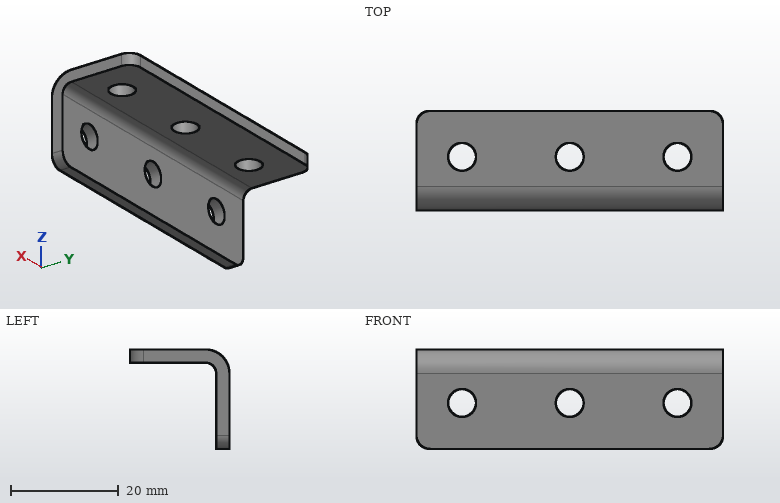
import cadquery as cq

length = 57.0
leg = 18.5
thickness = 2.5
inner_bend_radius = 2.0
outer_bend_radius = inner_bend_radius + thickness
corner_radius = 2.5
hole_diameter = 5.15
hole_pitch = 20.0
hole_count = 3
hole_from_bend_face = 10.0


def bent_sheet():
    """L-section with its outer bend edge along X at Y = 0, Z = 0."""
    vertical_leg = cq.Workplane("XY").box(length, thickness, leg, centered=(True, False, False))
    vertical_leg = vertical_leg.translate((0, 0, -leg))
    flat_leg = cq.Workplane("XY").box(length, leg, thickness, centered=(True, False, False))
    flat_leg = flat_leg.translate((0, 0, -thickness))
    sheet = vertical_leg.union(flat_leg)
    sheet = sheet.edges(cq.NearestToPointSelector((0, 0, 0))).fillet(outer_bend_radius)
    inner_edge = cq.NearestToPointSelector((0, thickness, -thickness))
    return sheet.edges(inner_edge).fillet(inner_bend_radius)


def round_free_corners(sheet):
    """Round the two outer corners of each leg."""
    sheet = sheet.faces(">Y").edges("|Z").fillet(corner_radius)
    return sheet.faces("<Z").edges("|Y").fillet(corner_radius)


def hole_row(plane, offset):
    """Row of cutters centred on X, reaching through one leg in both directions."""
    return (
        cq.Workplane(plane)
        .center(0, offset)
        .rarray(hole_pitch, 0.55, hole_count, 1)
        .circle(hole_diameter / 2)
        .extrude(2 * thickness, both=True)
    )


bracket = round_free_corners(bent_sheet())
bracket = bracket.cut(hole_row("XY", hole_from_bend_face))
result = bracket.cut(hole_row("XZ", -hole_from_bend_face))